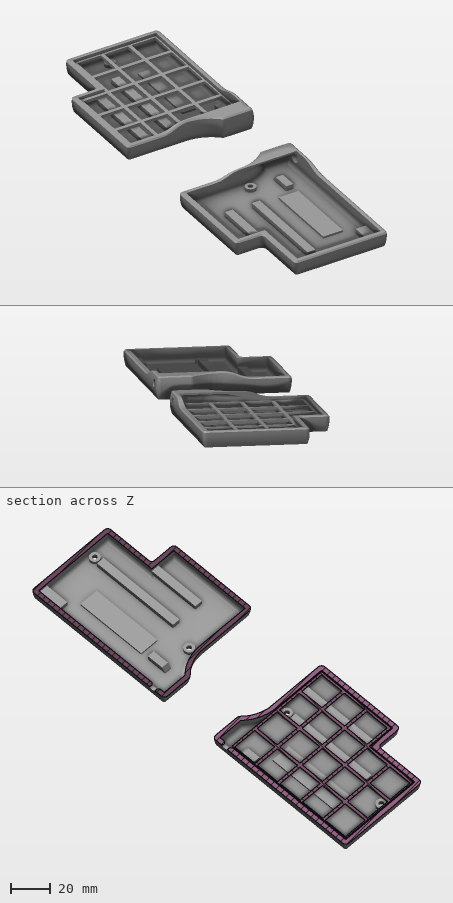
import cadquery as cq
import math

case_reach = 111.4
case_depth = 70.8
full_height = 11.8
rim_height = 8.35
bulge = 1.1
wall = 3.0
floor_thickness = 1.0
cavity_round = 2.0
hood_roof = 1.0
ceiling = full_height - hood_roof
rim_chamfer = 0.7

inner_side = 24.3
hood_side = 17.0
hood_straight = 18.7
neck_end = 35.6
notch_width = 31.2
notch_front = 55.0
corner_round = 2.2
hood_round = 2.7
notch_round = 2.0

slope_length = 16.3
back_slope_start = 49.5
side_slope_end = 51.2

jack_x = 25.6
jack_z = 7.4
jack_diameter = 4.5
jack_flare = 1.0

layout_pitch = 135.9
boss_places = [(-104.5, -32.5), (-31.6, -38.8)]
boss_diameter = 6.0
boss_hole = 3.0
boss_height = 2.0
pad_start = -89.3
battery_pad_size = (43.0, 11.5, 1.1)
battery_pad_back = 13.5
row_pad_width = 4.7
row_pad_height = 3.0
middle_pad_length = 53.7
middle_pad_back = 36.3
front_pad_length = 66.8
front_pad_back = 52.3
pad_root = 0.5

block_height = 3.0
block_bevel = 2.2
left_block = (-31.6, 4.7, 9.8, 4.5)
right_block = (-29.8, 13.8, 12.3, 4.2)
corner_block_start = 94.2
corner_block_back = 1.3
corner_block_size = (15.1, 7.5, 3.0)

plate_gap = 0.33
plate_thickness = 1.8
plate_bottom = 5.0
key_hole = 14.0
key_web = 1.95
key_pitch = key_hole + key_web
key_first_x = -107.1
key_first_y = 4.0
key_columns = 5
key_rows = 4
front_row_skips = 2

spare = 2.2


def outline(inset):
    """Closed outline of the left case, moved inward from its widest level."""
    outer = -case_reach + inset
    side = -inner_side - inset
    hood = -hood_side - inset
    back = -inset
    front = -case_depth + inset
    notch_x = -case_reach + notch_width + inset
    notch_y = -notch_front + inset
    run = neck_end - hood_straight
    step = inner_side - hood_side
    radius = (run**2 + step**2) / (2 * step)
    centre_x = -inner_side + radius
    arc_radius = radius + inset

    def on_arc(angle):
        return (
            centre_x - arc_radius * math.cos(angle),
            -neck_end + arc_radius * math.sin(angle),
        )

    hood_angle = math.acos((centre_x - hood) / arc_radius)
    return (
        cq.Workplane("XY")
        .moveTo(outer, back)
        .lineTo(hood, back)
        .lineTo(*on_arc(hood_angle))
        .threePointArc(on_arc(hood_angle / 2), (side, -neck_end))
        .lineTo(side, front)
        .lineTo(notch_x, front)
        .lineTo(notch_x, notch_y)
        .lineTo(outer, notch_y)
        .close()
    )


def opening(inset, bottom, top):
    """Stepped block inside the walls, without the hood."""
    left = -case_reach + inset
    right = -inner_side - inset
    back = -inset
    front = -case_depth + inset
    notch_x = -case_reach + notch_width + inset
    notch_y = -notch_front + inset
    corners = [
        (left, back),
        (right, back),
        (right, front),
        (notch_x, front),
        (notch_x, notch_y),
        (left, notch_y),
    ]
    base = cq.Workplane("XY", origin=(0, 0, bottom))
    return base.polyline(corners).close().extrude(top - bottom)


def barrel():
    """Full-height block whose sides swell to their widest at mid height."""
    core = outline(bulge).extrude(full_height)
    outer = -case_reach + bulge
    side = -inner_side - bulge
    hood = -hood_side - bulge
    notch_x = outer + notch_width
    front = -case_depth + bulge
    notch_y = -notch_front + bulge
    roundings = [
        (outer, -bulge, corner_round - bulge),
        (outer, notch_y, corner_round - bulge),
        (notch_x, front, corner_round - bulge),
        (side, front, corner_round - bulge),
        (hood, -bulge, corner_round - bulge),
        (hood, -hood_straight, hood_round - bulge),
        (notch_x, notch_y, notch_round + bulge),
    ]
    for x, y, radius in roundings:
        corner = cq.selectors.NearestToPointSelector((x, y, full_height / 2))
        core = core.edges(corner).fillet(radius)
    profile = (
        cq.Workplane("YZ", origin=(-case_reach + corner_round, -bulge, 0))
        .moveTo(0, 0)
        .threePointArc((bulge, full_height / 2), (0, full_height))
        .close()
    )
    swell = profile.sweep(core.faces("<Z").wires())
    return core.union(swell)


def height_profile(plane, low_end, high_end):
    """Block under the top surface: low rim, S-shaped slope up to the hood, then the hood."""
    direction = math.copysign(1, high_end - low_end)
    far = 2 * case_reach * direction
    rise = full_height - rim_height
    length = abs(high_end - low_end)
    middle = ((low_end + high_end) / 2, (rim_height + full_height) / 2)
    radius = (length**2 + rise**2) / (4 * rise)
    half_angle = math.asin(length / 2 / radius) / 2
    reach = direction * radius * math.sin(half_angle)
    lift = radius * (1 - math.cos(half_angle))
    return (
        cq.Workplane(plane)
        .moveTo(low_end - far, -spare)
        .lineTo(low_end - far, rim_height)
        .lineTo(low_end, rim_height)
        .threePointArc((low_end + reach, rim_height + lift), middle)
        .threePointArc((high_end - reach, full_height - lift), (high_end, full_height))
        .lineTo(high_end + far, full_height)
        .lineTo(high_end + far, -spare)
        .close()
        .extrude(2 * case_reach, both=True)
    )


def bevel_top(body):
    """Chamfer the edges where the upward faces meet the outer sides."""
    shared = {}
    for face in body.faces().vals():
        if face.normalAt().z > 0.5:
            for edge in face.Edges():
                shared.setdefault(edge.hashCode(), []).append(edge)
    rim = [edges[0] for edges in shared.values() if len(edges) == 1]
    return body.newObject(rim).chamfer(rim_chamfer)


def cavity():
    """Hollow of the case: rounded pocket that reaches under the hood, open above the keys."""
    pocket = (
        outline(wall)
        .extrude(ceiling - floor_thickness)
        .translate((0, 0, floor_thickness))
        .faces("<Z or >Z")
        .edges()
        .fillet(cavity_round)
    )
    mouth = opening(wall, floor_thickness + cavity_round, full_height + spare)
    return pocket.union(mouth)


def jack_hole():
    """Hole through the back wall, flared toward the inside."""
    radius = jack_diameter / 2
    hole = cq.Workplane("XZ", origin=(-jack_x, spare, jack_z)).circle(radius).extrude(wall + spare)
    flare = (
        cq.Workplane("XZ", origin=(-jack_x, -wall + jack_flare, jack_z))
        .circle(radius)
        .workplane(offset=jack_flare)
        .circle(radius + jack_flare)
        .loft()
    )
    return hole.union(flare)


def shell():
    """Left case without anything on its floor."""
    body = barrel()
    body = body.intersect(height_profile("XZ", -back_slope_start, slope_length - back_slope_start))
    body = body.intersect(height_profile("YZ", -side_slope_end, slope_length - side_slope_end))
    return bevel_top(body).cut(cavity()).cut(jack_hole())


def pad(left, back, size):
    """Raised rectangle on the floor."""
    length, width, height = size
    block = cq.Workplane("XY").box(length, width, height + pad_root, centered=False)
    return block.translate((left, -back - width, floor_thickness - pad_root))


def jack_block(inner_end, back, length, width):
    """Raised block whose inner end is bevelled."""
    block = pad(inner_end - length, back, (length, width, block_height))
    return block.edges(">X and >Z").chamfer(block_bevel)


def add_floor_layout(body, shift, inside):
    """Add the pads and the drilled screw bosses, moved along X by the shift."""
    start = pad_start + shift
    raised = [
        pad(start, battery_pad_back, battery_pad_size),
        pad(start, middle_pad_back, (middle_pad_length, row_pad_width, row_pad_height)),
        pad(start, front_pad_back, (front_pad_length, row_pad_width, row_pad_height)),
    ]
    holes = []
    for x, y in boss_places:
        place = cq.Workplane("XY", origin=(x + shift, y, 0))
        raised.append(place.circle(boss_diameter / 2).extrude(floor_thickness + boss_height))
        holes.append(place.circle(boss_hole / 2).extrude(full_height))
    for item in raised:
        body = body.union(item.intersect(inside))
    for hole in holes:
        body = body.cut(hole)
    return body


def build_left_case(body, inside):
    case = add_floor_layout(body, 0, inside)
    return case.union(jack_block(*left_block))


def build_right_case(body, inside):
    case = add_floor_layout(body.mirror("YZ"), layout_pitch, inside.mirror("YZ"))
    case = case.union(jack_block(*right_block).mirror("YZ"))
    return case.union(pad(corner_block_start, corner_block_back, corner_block_size))


def build_key_plate():
    """Grid plate that lies inside the left case."""
    plate = opening(wall + plate_gap, plate_bottom, plate_bottom + plate_thickness)
    for row in range(key_rows):
        first_column = front_row_skips if row == key_rows - 1 else 0
        for column in range(first_column, key_columns):
            x = key_first_x + column * key_pitch
            y = -key_first_y - key_hole - row * key_pitch
            hole = cq.Workplane("XY").box(key_hole, key_hole, full_height, centered=False)
            plate = plate.cut(hole.translate((x, y, 0)))
    return plate


case_shell = shell()
wall_middle = outline(wall / 2).extrude(rim_height)
left_case = build_left_case(case_shell, wall_middle)
right_case = build_right_case(case_shell, wall_middle)
key_plate = build_key_plate()

result = cq.Compound.makeCompound([left_case.val(), key_plate.val(), right_case.val()])